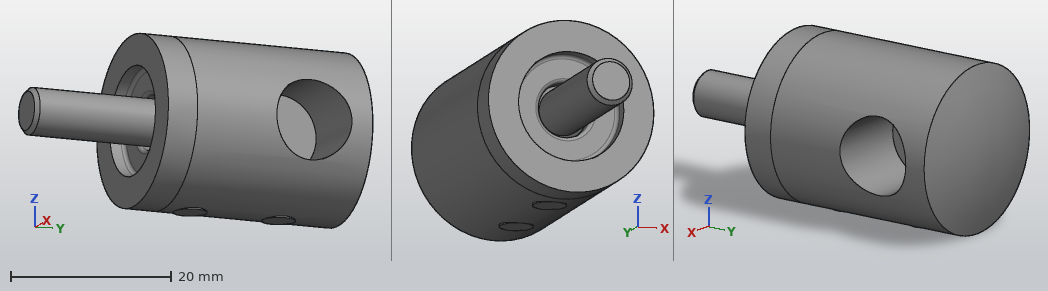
import cadquery as cq
import math

body_diameter = 22.0
body_radius = body_diameter / 2
overall_length = 44.5
stud_length = 14.5
base_thickness = 4.0
dome_height = 2.0

base_face_y = 0.0
sleeve_bottom_y = base_face_y + base_thickness
apex_y = overall_length - stud_length
rim_y = apex_y - dome_height

recess_diameter = 14.0
recess_depth = 2.0
recess_fillet = 0.5
bore_diameter = 7.0
bore_round = 0.5

stud_diameter = 6.0
stud_chamfer = 0.55
collar_diameter = bore_diameter
collar_chamfer = (collar_diameter - stud_diameter) / 2
collar_setback = 1.0
collar_tip_y = recess_depth + bore_round + collar_setback
stud_depth = 8.9

cross_hole_diameter = 10.27
cross_hole_y = 19.95
screw_diameter = 4.25
lower_screw_y = 7.87
screw_positions = [lower_screw_y, cross_hole_y]
lower_screw_length = body_radius - collar_diameter / 2
upper_screw_length = body_radius - cross_hole_diameter / 2
screw_lengths = [lower_screw_length, upper_screw_length]


def turned(profile):
    """Revolve a closed half profile of (radius, y) about the Y axis."""
    return profile.close().revolve(360, (0, 0, 0), (0, 1, 0))


def make_screw(y, length):
    """Flat-ended set screw pointing up from the lowest line of the sleeve."""
    return cq.Workplane("XY", origin=(0, y, -body_radius)).circle(screw_diameter / 2).extrude(length)


def make_stud():
    """Stud with a chamfered tip and a wider chamfered collar held in the base and sleeve."""
    tip_y = base_face_y - stud_length
    stud_radius = stud_diameter / 2
    collar_radius = collar_diameter / 2
    return turned(
        cq.Workplane("XY")
        .moveTo(0, tip_y)
        .lineTo(stud_radius - stud_chamfer, tip_y)
        .lineTo(stud_radius, tip_y + stud_chamfer)
        .lineTo(stud_radius, collar_tip_y)
        .lineTo(collar_radius, collar_tip_y + collar_chamfer)
        .lineTo(collar_radius, stud_depth)
        .lineTo(0, stud_depth)
    )


def make_base():
    """Ring with a recess, a filleted recess floor corner and a bore with a rounded mouth."""
    recess_radius = recess_diameter / 2
    bore_radius = bore_diameter / 2
    return turned(
        cq.Workplane("XY")
        .moveTo(recess_radius, base_face_y)
        .lineTo(body_radius, base_face_y)
        .lineTo(body_radius, sleeve_bottom_y)
        .lineTo(bore_radius, sleeve_bottom_y)
        .lineTo(bore_radius, recess_depth + bore_round)
        .radiusArc((bore_radius + bore_round, recess_depth), -bore_round)
        .lineTo(recess_radius - recess_fillet, recess_depth)
        .radiusArc((recess_radius, recess_depth - recess_fillet), recess_fillet)
    )


def make_sleeve(stud, screws):
    """Domed cylinder with a blind cross hole on +X and sockets for the stud and screws."""
    dome_radius = (body_radius**2 + dome_height**2) / (2 * dome_height)
    half_angle = math.asin(body_radius / dome_radius) / 2
    dome_mid = (
        dome_radius * math.sin(half_angle),
        apex_y - dome_radius * (1 - math.cos(half_angle)),
    )
    sleeve = turned(
        cq.Workplane("XY")
        .moveTo(0, sleeve_bottom_y)
        .lineTo(body_radius, sleeve_bottom_y)
        .lineTo(body_radius, rim_y)
        .threePointArc(dome_mid, (0, apex_y))
    )
    cross_hole = (
        cq.Workplane("YZ", origin=(0, cross_hole_y, 0))
        .circle(cross_hole_diameter / 2)
        .extrude(body_radius)
    )
    sleeve = sleeve.cut(cross_hole).cut(stud)
    for screw in screws:
        sleeve = sleeve.cut(screw)
    return sleeve


stud = make_stud()
base = make_base()
screws = [make_screw(y, length) for y, length in zip(screw_positions, screw_lengths)]
sleeve = make_sleeve(stud, screws)

result = cq.Compound.makeCompound(
    [sleeve.val(), base.val(), stud.val(), *[screw.val() for screw in screws]]
)